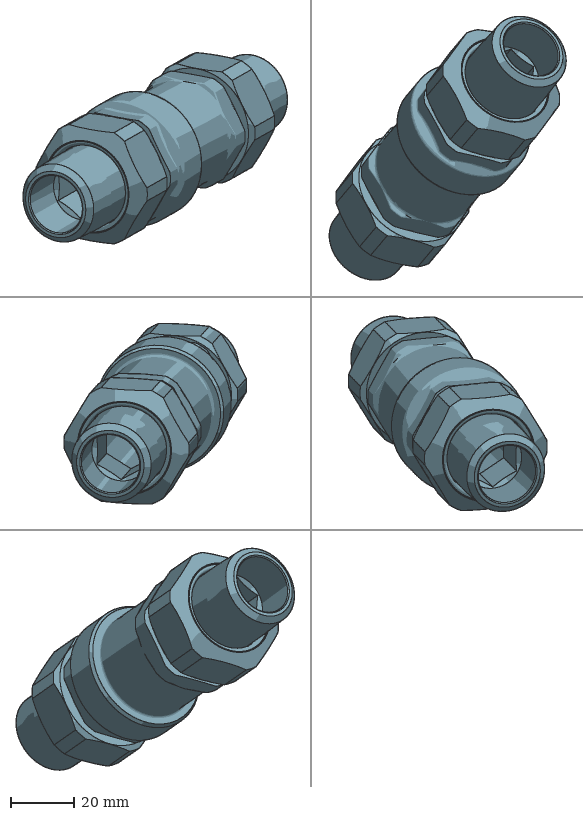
import cadquery as cq
import math

LENGTH = 127.5
HALF_LENGTH = LENGTH / 2

CONE_ANGLE = math.radians(30)
CONE_SLOPE = math.tan(CONE_ANGLE)

BORE_DIAMETER = 19.0
BORE_DEPTH = 15.3
BORE_CHAMFER = 0.4
KEY_ACROSS_FLATS = 15.8
PIPE_DIAMETER = 26.5
PIPE_END_CHAMFER_LENGTH = 1.7
PIPE_END_FACE_DIAMETER = 21.9
TAPER_LENGTH = 12.8
TAPER_RATIO = 1 / 16
FLANGE_THICKNESS = 2.5

NUT_INNER_Y = 27.2
NUT_OUTER_Y = 43.7
NUT_ACROSS_FLATS = 37.2
NUT_CORNER_DIAMETER = 40.7
NUT_END_FACE_DIAMETER = 30.6
NUT_INNER_CHAMFER = 1.8
NUT_THROAT_DIAMETER = 26.9
NUT_MOUTH_DIAMETER = 28.5
NUT_STEP_DIAMETER = 30.0
NUT_STEP_DEPTH = 0.4

NECK_DIAMETER = 30.3
NECK_END_Y = 34.4
NECK_ROUND = 0.5
BARREL_DIAMETER = 34.5
COLLAR_DIAMETER = 41.5
COLLAR_FRONT_Y = -17.8
COLLAR_FRONT_ROUND = 1.3
COLLAR_BACK_Y = -5.5
COLLAR_BACK_CHAMFER = 0.8
COLLAR_BACK_CHAMFER_LENGTH = 1.1
COLLAR_FOOT_ROUND = 1.0
HEX_ACROSS_FLATS = 35.0
HEX_CORNER_DIAMETER = 38.2
HEX_END_Y = 24.6
HEX_END_ANGLE = math.radians(10)
HEX_SHOULDER_Y = 18.2
HEX_EDGE_ROUND = 1.5
HEX_BACK_ROUND = 0.5
HEX_FOOT_ROUND = 1.3
HEX_COLLAR_ROUND = 0.9

NECK_RADIUS = NECK_DIAMETER / 2
BARREL_RADIUS = BARREL_DIAMETER / 2
COLLAR_RADIUS = COLLAR_DIAMETER / 2
HEX_CORNER_RADIUS = HEX_CORNER_DIAMETER / 2
FLANGE_OUTER_Y = NECK_END_Y + FLANGE_THICKNESS
COLLAR_CONE_TIP_Y = COLLAR_FRONT_Y - (COLLAR_RADIUS - BARREL_RADIUS) * CONE_SLOPE

TOLERANCE = 0.01


def turn(outline):
    """Revolve an open (radius, y) outline, closed by a straight line, about the Y axis."""
    return outline.close().revolve(360, (0, 0, 0), (0, 1, 0))


def turn_points(points):
    """Revolve a straight-sided (radius, y) outline about the Y axis."""
    return turn(cq.Workplane("XY").polyline(points))


def cylinder(diameter, y_start, y_end):
    return cq.Workplane("XZ", origin=(0, y_start, 0)).circle(diameter / 2).extrude(y_start - y_end)


def hexagon_bar(across_flats, y_start, y_end, twist=0):
    """Hexagonal bar along Y; without a twist, it has corners at +X and -X."""
    corner_diameter = across_flats / math.cos(math.pi / 6)
    bar = cq.Workplane("XZ", origin=(0, y_start, 0)).polygon(6, corner_diameter).extrude(y_start - y_end)
    return bar.rotate((0, 0, 0), (0, 1, 0), twist)


def edges_between(body, y_low, y_high, radius=COLLAR_DIAMETER):
    """Edges that lie wholly between two Y values and within a radius."""
    low = (-radius, y_low - TOLERANCE, -radius)
    high = (radius, y_high + TOLERANCE, radius)
    return body.edges(cq.selectors.BoxSelector(low, high, boundingbox=True))


def make_tailpiece():
    """Tailpiece of the +Y end: tapered pipe, inner flange, drilled bore and hexagonal key hole."""
    pipe_radius = PIPE_DIAMETER / 2
    taper_start_y = HALF_LENGTH - TAPER_LENGTH
    taper_end_y = HALF_LENGTH - PIPE_END_CHAMFER_LENGTH
    taper_end_radius = pipe_radius - (taper_end_y - taper_start_y) * TAPER_RATIO / 2
    pipe = turn_points([
        (0, NECK_END_Y),
        (NECK_RADIUS, NECK_END_Y),
        (NECK_RADIUS, FLANGE_OUTER_Y),
        (pipe_radius, FLANGE_OUTER_Y),
        (pipe_radius, taper_start_y),
        (taper_end_radius, taper_end_y),
        (PIPE_END_FACE_DIAMETER / 2, HALF_LENGTH),
        (0, HALF_LENGTH),
    ])

    bore_radius = BORE_DIAMETER / 2
    bore_floor_y = HALF_LENGTH - BORE_DEPTH
    bore = turn_points([
        (0, HALF_LENGTH),
        (bore_radius + BORE_CHAMFER, HALF_LENGTH),
        (bore_radius, HALF_LENGTH - BORE_CHAMFER),
        (bore_radius, bore_floor_y),
        (0, bore_floor_y - bore_radius * CONE_SLOPE),
    ])
    key_hole = hexagon_bar(KEY_ACROSS_FLATS, NECK_END_Y, bore_floor_y, twist=30)
    return pipe.cut(bore).cut(key_hole)


def make_nut():
    """Union nut of the +Y end, screwed on the neck and holding the tailpiece flange."""
    corner_radius = NUT_CORNER_DIAMETER / 2
    end_radius = NUT_END_FACE_DIAMETER / 2
    envelope = turn_points([
        (0, NUT_INNER_Y),
        (corner_radius - NUT_INNER_CHAMFER, NUT_INNER_Y),
        (corner_radius, NUT_INNER_Y + NUT_INNER_CHAMFER * CONE_SLOPE),
        (corner_radius, NUT_OUTER_Y - (corner_radius - end_radius) * CONE_SLOPE),
        (end_radius, NUT_OUTER_Y),
        (0, NUT_OUTER_Y),
    ])
    blank = envelope.intersect(hexagon_bar(NUT_ACROSS_FLATS, NUT_INNER_Y, NUT_OUTER_Y))

    thread_hole = cylinder(NECK_DIAMETER, NUT_INNER_Y, FLANGE_OUTER_Y)
    throat = cylinder(NUT_THROAT_DIAMETER, FLANGE_OUTER_Y, NUT_OUTER_Y)
    mouth_y = NUT_OUTER_Y - NUT_STEP_DEPTH
    step = cylinder(NUT_STEP_DIAMETER, mouth_y, NUT_OUTER_Y)
    nut = blank.cut(thread_hole).cut(throat).cut(step)

    mouth_round = (NUT_MOUTH_DIAMETER - NUT_THROAT_DIAMETER) / 2
    throat_edge = edges_between(nut, mouth_y, mouth_y, NUT_THROAT_DIAMETER / 2 + TOLERANCE)
    return throat_edge.fillet(mouth_round)


def make_wrench_hex(y_root):
    """Housing hexagon from y_root to its +Y end: turned corners, rounded edges, conical end face."""
    bar = hexagon_bar(HEX_ACROSS_FLATS, y_root, HEX_END_Y)
    turned = bar.intersect(cylinder(HEX_CORNER_DIAMETER, y_root, HEX_END_Y))
    rounded = turned.edges("|Y").fillet(HEX_EDGE_ROUND)
    end_fall = (HEX_CORNER_RADIUS - NECK_RADIUS) * math.tan(HEX_END_ANGLE)
    end_cutter = turn_points([
        (NECK_RADIUS, HEX_END_Y),
        (HEX_CORNER_RADIUS, HEX_END_Y - end_fall),
        (HEX_CORNER_RADIUS, HEX_END_Y),
    ])
    return rounded.cut(end_cutter)


def make_back_hex():
    """Hexagon of the +Y end, turned down to the barrel by a cone with a rounded foot."""
    foot_y = HEX_SHOULDER_Y - (HEX_CORNER_RADIUS - BARREL_RADIUS) * CONE_SLOPE
    foot_tangent = HEX_FOOT_ROUND * math.tan((math.pi / 2 - CONE_ANGLE) / 2)
    foot_start_y = foot_y - foot_tangent
    foot_end = (
        BARREL_RADIUS + foot_tangent * math.cos(CONE_ANGLE),
        foot_y + foot_tangent * math.sin(CONE_ANGLE),
    )
    back_cutter = turn(
        cq.Workplane("XY")
        .moveTo(BARREL_RADIUS, foot_start_y)
        .radiusArc(foot_end, HEX_FOOT_ROUND)
        .lineTo(HEX_CORNER_RADIUS, HEX_SHOULDER_Y)
        .lineTo(HEX_CORNER_RADIUS, foot_start_y)
    )
    back_hex = make_wrench_hex(foot_start_y).cut(back_cutter)
    return edges_between(back_hex, foot_start_y + foot_tangent, HEX_SHOULDER_Y).fillet(HEX_BACK_ROUND)


def make_collared_barrel():
    """Barrel with its wide collar, which ends in a cone on the -Y side."""
    barrel = turn_points([
        (0, COLLAR_CONE_TIP_Y),
        (BARREL_RADIUS, COLLAR_CONE_TIP_Y),
        (COLLAR_RADIUS, COLLAR_FRONT_Y),
        (COLLAR_RADIUS, COLLAR_BACK_Y - COLLAR_BACK_CHAMFER_LENGTH),
        (COLLAR_RADIUS - COLLAR_BACK_CHAMFER, COLLAR_BACK_Y),
        (BARREL_RADIUS, COLLAR_BACK_Y),
        (BARREL_RADIUS, HEX_SHOULDER_Y),
        (0, HEX_SHOULDER_Y),
    ])
    barrel = edges_between(barrel, COLLAR_FRONT_Y, COLLAR_FRONT_Y).fillet(COLLAR_FRONT_ROUND)
    collar_foot = edges_between(barrel, COLLAR_BACK_Y, COLLAR_BACK_Y, BARREL_RADIUS + TOLERANCE)
    return collar_foot.fillet(COLLAR_FOOT_ROUND)


def make_housing():
    """Housing: barrel, a hexagon on each side of it, and a neck through to both ends."""
    front_hex = make_wrench_hex(-COLLAR_FRONT_Y).mirror("XZ")
    housing = make_collared_barrel().union(front_hex)
    hex_root = edges_between(housing, COLLAR_CONE_TIP_Y, COLLAR_FRONT_Y - HEX_COLLAR_ROUND)
    housing = hex_root.fillet(HEX_COLLAR_ROUND)

    neck = cylinder(NECK_DIAMETER, -NECK_END_Y, NECK_END_Y)
    housing = housing.union(make_back_hex()).union(neck)
    for neck_foot_y in (-HEX_END_Y, HEX_END_Y):
        housing = edges_between(housing, neck_foot_y, neck_foot_y).fillet(NECK_ROUND)
    return housing.cut(cylinder(BORE_DIAMETER, -NECK_END_Y, NECK_END_Y))


housing = make_housing()

end_parts = []
for make_end_part in (make_tailpiece, make_nut):
    end_part = make_end_part()
    end_parts.append(end_part.val())
    end_parts.append(end_part.mirror("XZ").val())

result = cq.Compound.makeCompound([housing.val(), *end_parts])